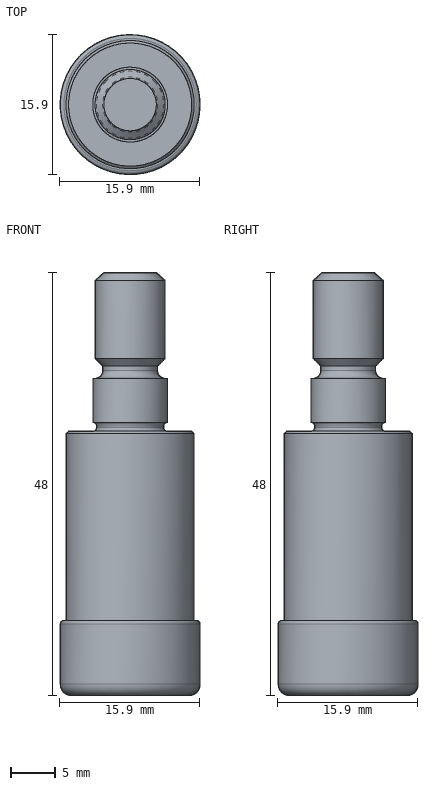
import cadquery as cq

CAP_RADIUS = 7.945
CAP_HEIGHT = 8.55
CAP_BOTTOM_FILLET = 1.3
CAP_TOP_FILLET = 0.45

TOTAL_HEIGHT = 48.0
BARREL_RADIUS = 14.55 / 2
BARREL_TOP = 30.0
BARREL_CHAMFER = 0.3
COLLAR_RADIUS = 8.5 / 2
COLLAR_BOTTOM = 31.0
COLLAR_TOP = 36.0
STUD_RADIUS = 4.0
STUD_BOTTOM = 38.25
STUD_TIP_RADIUS = 3.0
STUD_TIP_CHAMFER_HEIGHT = 0.9

RELIEF_FILLET = 0.45
RELIEF_RADIUS = COLLAR_RADIUS - RELIEF_FILLET
NECK_RADIUS = 3.1
NECK_FILLET = 0.85


def make_cap():
    """Solid foot with a large bottom round and a small top round."""
    cap = cq.Workplane("XY").circle(CAP_RADIUS).extrude(CAP_HEIGHT)
    cap = cap.faces("<Z").edges().fillet(CAP_BOTTOM_FILLET)
    return cap.faces(">Z").edges().fillet(CAP_TOP_FILLET)


def make_plunger():
    """Barrel standing on the cap, with its collar and stud, as one revolved profile."""
    neck_flare_radius = NECK_RADIUS + NECK_FILLET
    neck_bottom = COLLAR_TOP + NECK_FILLET
    neck_top = STUD_BOTTOM - (STUD_RADIUS - NECK_RADIUS)
    relief_wall_bottom = BARREL_TOP + RELIEF_FILLET
    relief_wall_top = COLLAR_BOTTOM - RELIEF_FILLET
    profile = (
        cq.Workplane("XZ")
        .moveTo(0, CAP_HEIGHT)
        .lineTo(BARREL_RADIUS, CAP_HEIGHT)
        .lineTo(BARREL_RADIUS, BARREL_TOP - BARREL_CHAMFER)
        .lineTo(BARREL_RADIUS - BARREL_CHAMFER, BARREL_TOP)
        .lineTo(COLLAR_RADIUS, BARREL_TOP)
        .radiusArc((RELIEF_RADIUS, relief_wall_bottom), RELIEF_FILLET)
        .lineTo(RELIEF_RADIUS, relief_wall_top)
        .radiusArc((COLLAR_RADIUS, COLLAR_BOTTOM), RELIEF_FILLET)
        .lineTo(COLLAR_RADIUS, COLLAR_TOP)
        .lineTo(neck_flare_radius, COLLAR_TOP)
        .radiusArc((NECK_RADIUS, neck_bottom), NECK_FILLET)
        .lineTo(NECK_RADIUS, neck_top)
        .lineTo(STUD_RADIUS, STUD_BOTTOM)
        .lineTo(STUD_RADIUS, TOTAL_HEIGHT - STUD_TIP_CHAMFER_HEIGHT)
        .lineTo(STUD_TIP_RADIUS, TOTAL_HEIGHT)
        .lineTo(0, TOTAL_HEIGHT)
        .close()
    )
    return profile.revolve(360, (0, 0, 0), (0, 1, 0))


cap = make_cap()
plunger = make_plunger()
result = cq.Compound.makeCompound([cap.val(), plunger.val()])